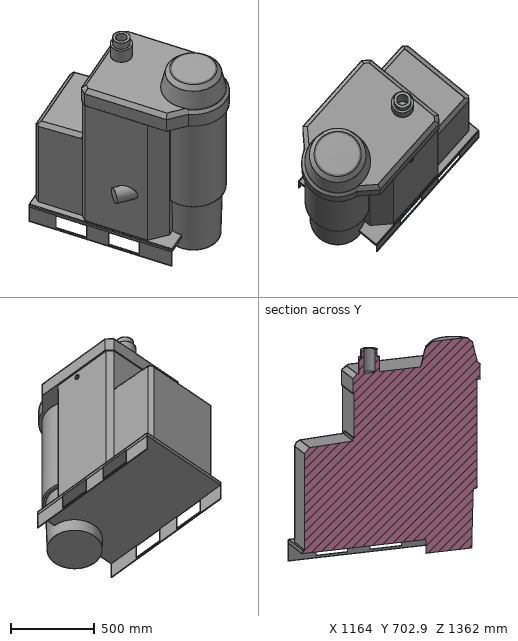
import cadquery as cq
import math

pallet_length = 947.0
pallet_width = 621.0
pallet_top = 138.0
deck_thickness = 25.0
deck_edge_chamfer = 5.0
skirt_thickness = 4.0
window_width = 203.0
window_bottom = 15.0
window_top = pallet_top - deck_thickness
window_starts = (178.0, 527.0)

body_left = 332.0
body_right = 880.0
body_width = 597.0
body_corner = 34.0
body_nose_half_width = 199.0

lid_left = 327.0
lid_width = 613.0
lid_bottom = 1085.0
lid_top = 1208.0
lid_corner = 38.0
lid_shoulder = 911.0
lid_nose_radius = 217.0
lid_chamfer = 27.0

column_x = pallet_length
column_diameter = 395.0
column_bottom = 400.0
column_chamfer = 8.0
duct_top_radius = 176.0
duct_bottom_radius = 166.0
duct_bottom = 26.0

cap_height = 1362.0
cap_shoulder_radius = 170.0
cap_shoulder_z = 1328.0
cap_brow_radius = 142.0
cap_brow_z = 1357.0
cap_rim_radius = 133.0
cap_rim_z = 1359.0

hood_left = 14.0
hood_width = 528.0
hood_front_height = 778.0
hood_rear_height = 790.0
hood_front_chamfer = 34.0
hood_side_chamfer = 26.0
hood_flange_height = 809.0
hood_flange_thickness = 5.0

chimney_x = 433.0
chimney_y = 75.0
chimney_lower_diameter = 133.0
chimney_upper_diameter = 105.0
chimney_bore = 68.0
chimney_step_z = 1301.0
chimney_top = 1351.0

pipe_diameter = 100.0
pipe_end_x = 587.0
pipe_end_y = -357.0
pipe_z = 477.0
pipe_length = 163.0

button_diameter = 30.0
button_x = 613.0
button_z = 1038.0
button_height = 5.0


def box(x0, x1, width, z0, z1):
    """Box from x0 to x1 and z0 to z1, centred on Y = 0."""
    return cq.Workplane("XY").box(x1 - x0, width, z1 - z0, centered=(False, True, False)).translate((x0, 0, z0))


def cylinder(x, y, diameter, z0, z1):
    """Upright cylinder from z0 to z1."""
    return cq.Workplane("XY", origin=(x, y, z0)).circle(diameter / 2).extrude(z1 - z0)


def make_pallet():
    pallet = box(0, pallet_length, pallet_width, 0, pallet_top).edges("|X and >Z").chamfer(deck_edge_chamfer)
    inner_width = pallet_width - 2 * skirt_thickness
    pallet = pallet.cut(box(0, pallet_length, inner_width, 0, pallet_top - deck_thickness))
    for start in window_starts:
        pallet = pallet.cut(box(start, start + window_width, pallet_width, window_bottom, window_top))
    return pallet


def make_body():
    half = body_width / 2
    shoulder = body_right - (half - body_nose_half_width)
    return (
        cq.Workplane("XY", origin=(0, 0, pallet_top))
        .moveTo(body_left, half - body_corner)
        .lineTo(body_left + body_corner, half)
        .lineTo(shoulder, half)
        .lineTo(body_right, body_nose_half_width)
        .lineTo(body_right, -body_nose_half_width)
        .lineTo(shoulder, -half)
        .lineTo(body_left + body_corner, -half)
        .lineTo(body_left, body_corner - half)
        .close()
        .extrude(lid_bottom - pallet_top)
    )


def make_lid():
    half = lid_width / 2
    flank = lid_shoulder + half - column_x
    nose_dx = (flank - math.sqrt(2 * lid_nose_radius**2 - flank**2)) / 2
    nose_x = column_x + nose_dx
    nose_y = flank - nose_dx
    return (
        cq.Workplane("XY", origin=(0, 0, lid_bottom))
        .moveTo(lid_left, half - lid_corner)
        .lineTo(lid_left + lid_corner, half)
        .lineTo(lid_shoulder, half)
        .lineTo(nose_x, nose_y)
        .threePointArc((column_x + lid_nose_radius, 0), (nose_x, -nose_y))
        .lineTo(lid_shoulder, -half)
        .lineTo(lid_left + lid_corner, -half)
        .lineTo(lid_left, lid_corner - half)
        .close()
        .extrude(lid_top - lid_bottom)
        .faces(">Z")
        .chamfer(lid_chamfer)
    )


def make_column():
    radius = column_diameter / 2
    return (
        cq.Workplane("XZ")
        .moveTo(0, duct_bottom)
        .lineTo(duct_bottom_radius, duct_bottom)
        .lineTo(duct_top_radius, column_bottom)
        .lineTo(radius - column_chamfer, column_bottom)
        .lineTo(radius, column_bottom + column_chamfer)
        .lineTo(radius, lid_top)
        .lineTo(cap_shoulder_radius, cap_shoulder_z)
        .lineTo(cap_brow_radius, cap_brow_z)
        .lineTo(cap_rim_radius, cap_rim_z)
        .lineTo(0, cap_height)
        .close()
        .revolve(360, (0, 0, 0), (0, 1, 0))
        .translate((column_x, 0, 0))
    )


def make_hood():
    shell = (
        cq.Workplane("XZ", origin=(0, hood_width / 2, 0))
        .moveTo(hood_left, pallet_top)
        .lineTo(hood_left, hood_front_height)
        .lineTo(body_left, hood_rear_height)
        .lineTo(body_left, pallet_top)
        .close()
        .extrude(hood_width)
        .faces(">Z")
        .edges("not |Y")
        .chamfer(hood_side_chamfer)
    )
    plan = box(hood_left, body_left, hood_width, pallet_top, hood_rear_height)
    plan = plan.edges("|Z and <X").chamfer(hood_side_chamfer)
    front = box(hood_left, body_left, hood_width, pallet_top, hood_front_height)
    front = front.edges("|Y and <X and >Z").chamfer(hood_front_chamfer)
    rear = box(hood_left + hood_front_chamfer, body_left, hood_width, pallet_top, hood_rear_height)
    hood = shell.intersect(plan).intersect(front.union(rear))
    flange_left = body_left - hood_flange_thickness
    flange_bevel = hood_side_chamfer + hood_flange_height - hood_rear_height
    flange = box(flange_left, body_left, hood_width, pallet_top, hood_flange_height)
    flange = flange.edges("|X and >Z").chamfer(flange_bevel)
    return hood.union(flange)


def make_chimney():
    lower = cylinder(chimney_x, chimney_y, chimney_lower_diameter, lid_top, chimney_step_z)
    upper = cylinder(chimney_x, chimney_y, chimney_upper_diameter, chimney_step_z, chimney_top)
    bore = cylinder(chimney_x, chimney_y, chimney_bore, lid_top, chimney_top)
    return lower.union(upper).cut(bore)


def make_side_pipe():
    end_plane = cq.Plane(origin=(pipe_end_x, pipe_end_y, pipe_z), xDir=(0, 0, 1), normal=(1, 1, 0))
    return cq.Workplane(end_plane).circle(pipe_diameter / 2).extrude(pipe_length)


def make_button():
    plane = cq.Plane(origin=(button_x, body_width / 2, button_z), xDir=(1, 0, 0), normal=(0, 1, 0))
    return cq.Workplane(plane).circle(button_diameter / 2).extrude(button_height)


result = (
    make_pallet()
    .union(make_body())
    .union(make_lid())
    .union(make_column())
    .union(make_hood())
    .union(make_chimney())
    .union(make_side_pipe())
    .union(make_button())
)